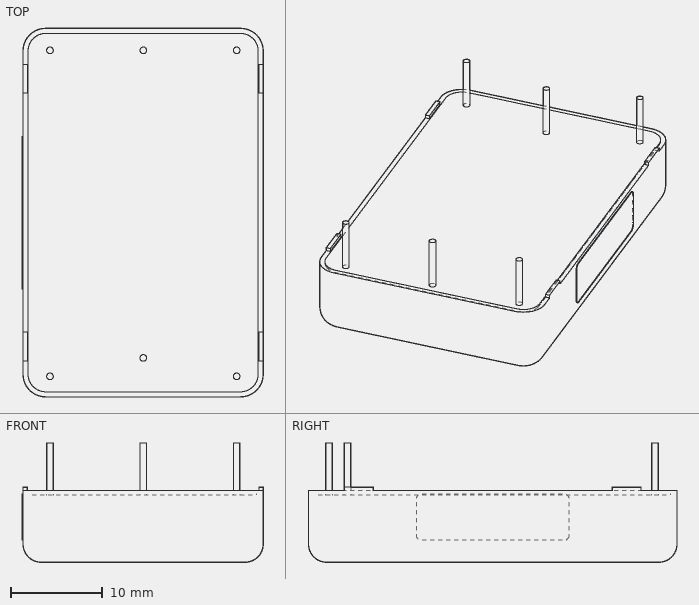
import cadquery as cq

LENGTH = 40.2
OVERALL_WIDTH = 26.3
LABEL_THICKNESS = 0.1
WIDTH = OVERALL_WIDTH - LABEL_THICKNESS
TOTAL_HEIGHT = 13.02
CASE_HEIGHT = 7.85
CORNER_RADIUS = 2.5
BOTTOM_FILLET = 2.0

WALL = 0.55
RECESS_DEPTH = 0.52
RECESS_FILLET = 0.5

TAB_LENGTH = 3.15
TAB_WIDTH = 0.5
TAB_HEIGHT = 0.35
TAB_OFFSET_Y = 14.6

LABEL_LENGTH = 16.65
LABEL_HEIGHT = 5.02
LABEL_RIM_GAP = 0.4
LABEL_CORNER_RADIUS = 0.52

PIN_DIAMETER = 0.72
PIN_OFFSET_X = 10.17
PIN_OFFSET_Y = 17.75
INNER_PIN_SPACING = 2.0
PIN_PATTERN_SHIFT_X = 0.02
PIN_PATTERN_SHIFT_Y = -0.1

floor_z = CASE_HEIGHT - RECESS_DEPTH


def make_case():
    """Round-cornered block with a rounded bottom edge."""
    block = cq.Workplane("XY").box(WIDTH, LENGTH, CASE_HEIGHT, centered=(True, True, False))
    return block.edges("|Z").fillet(CORNER_RADIUS).faces("<Z").edges().fillet(BOTTOM_FILLET)


def make_recess():
    """Cutter for the recess, with its floor edge rounded into the walls."""
    block = (
        cq.Workplane("XY", origin=(0, 0, floor_z))
        .box(WIDTH - 2 * WALL, LENGTH - 2 * WALL, RECESS_DEPTH, centered=(True, True, False))
    )
    return block.edges("|Z").fillet(CORNER_RADIUS - WALL).faces("<Z").edges().fillet(RECESS_FILLET)


def make_tabs():
    """Four low tabs standing on the long rims, flush with the outer sides."""
    tab_x = (WIDTH - TAB_WIDTH) / 2
    centers = [(x, y) for x in (-tab_x, tab_x) for y in (-TAB_OFFSET_Y, TAB_OFFSET_Y)]
    return (
        cq.Workplane("XY", origin=(0, 0, CASE_HEIGHT))
        .pushPoints(centers)
        .rect(TAB_WIDTH, TAB_LENGTH)
        .extrude(TAB_HEIGHT)
    )


def make_label():
    """Thin round-cornered plate raised from the -X side."""
    center_z = CASE_HEIGHT - LABEL_RIM_GAP - LABEL_HEIGHT / 2
    return (
        cq.Workplane("YZ", origin=(-WIDTH / 2, 0, center_z))
        .rect(LABEL_LENGTH, LABEL_HEIGHT)
        .extrude(-LABEL_THICKNESS)
        .edges("|X")
        .fillet(LABEL_CORNER_RADIUS)
    )


def make_pins():
    """Three pins along +Y, two at the -Y corners and one set in from the -Y row."""
    centers = [(x, PIN_OFFSET_Y) for x in (-PIN_OFFSET_X, 0, PIN_OFFSET_X)]
    centers += [(x, -PIN_OFFSET_Y) for x in (-PIN_OFFSET_X, PIN_OFFSET_X)]
    centers.append((0, INNER_PIN_SPACING - PIN_OFFSET_Y))
    return (
        cq.Workplane("XY", origin=(PIN_PATTERN_SHIFT_X, PIN_PATTERN_SHIFT_Y, floor_z))
        .pushPoints(centers)
        .circle(PIN_DIAMETER / 2)
        .extrude(TOTAL_HEIGHT - floor_z)
    )


result = (
    make_case()
    .cut(make_recess())
    .union(make_tabs())
    .union(make_label())
    .union(make_pins())
)